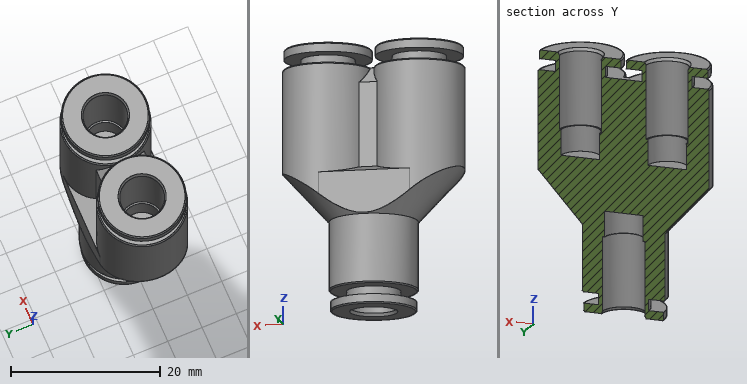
import cadquery as cq

total_height = 36.0
barrel_spacing = 12.53
barrel_diameter = 12.25
barrel_top = 33.23
body_base = 12.25
barrel_radius = barrel_diameter / 2
body_half_width = barrel_spacing / 2 + barrel_radius

shoulder_top = 19.2
shoulder_edge = 18.18

web_half_thickness = 3.5
web_top_half_thickness = 0.97
web_bevel_start = 30.78

stem_diameter = 12.0
stem_bottom = 2.77
body_edge_chamfer = 0.18

neck_diameter = 7.3
top_collar_diameter = 11.85
top_collar_thickness = 1.3
bottom_collar_diameter = 11.6
bottom_collar_thickness = 1.25
collar_chamfer = 0.18
neck_embed = 0.35

bore_diameter = 5.5
mouth_diameter = 6.0
mouth_edge_diameter = 6.45
mouth_edge_depth = 0.45
mouth_depth = 10.8
bore_depth = 14.4

barrel_centers = [(-barrel_spacing / 2, 0), (barrel_spacing / 2, 0)]


def cylinder(diameter, bottom, top):
    return cq.Workplane("XY").workplane(offset=bottom).circle(diameter / 2).extrude(top - bottom)


def make_barrel(center):
    barrel = cylinder(barrel_diameter, body_base, barrel_top)
    return barrel.faces(">Z").edges().chamfer(body_edge_chamfer).translate((*center, 0))


def make_web():
    """Bridge between the barrels: bevelled at the top, widening below at the shoulders."""
    half_profile = [
        (barrel_radius, body_base),
        (barrel_radius, shoulder_edge),
        (web_half_thickness, shoulder_top),
        (web_half_thickness, web_bevel_start),
        (web_top_half_thickness, barrel_top),
    ]
    mirrored = [(-y, z) for y, z in reversed(half_profile)]
    profile = cq.Workplane("YZ").polyline(half_profile + mirrored).close()
    return profile.extrude(barrel_spacing / 2, both=True)


def make_taper_envelope():
    """Cone about the stem axis that trims the lower body, continued as a cylinder above."""
    return (
        cq.Workplane("XZ")
        .moveTo(0, body_base)
        .lineTo(stem_diameter / 2, body_base)
        .lineTo(body_half_width, shoulder_top)
        .lineTo(body_half_width, barrel_top)
        .lineTo(0, barrel_top)
        .close()
        .revolve(360, (0, 0, 0), (0, 1, 0))
    )


def make_sleeve(collar_diameter, collar_thickness, body_end):
    """Release sleeve with its outer face at the total height and its neck set into the body."""
    collar = cylinder(collar_diameter, total_height - collar_thickness, total_height)
    collar = collar.faces(">Z").edges().chamfer(collar_chamfer)
    return collar.union(cylinder(neck_diameter, body_end - neck_embed, total_height - collar_thickness))


def make_socket():
    """Blind stepped bore with a bevelled mouth, opening at the total height."""
    return (
        cq.Workplane("XZ")
        .moveTo(0, total_height)
        .lineTo(mouth_edge_diameter / 2, total_height)
        .lineTo(mouth_diameter / 2, total_height - mouth_edge_depth)
        .lineTo(mouth_diameter / 2, total_height - mouth_depth)
        .lineTo(bore_diameter / 2, total_height - mouth_depth)
        .lineTo(bore_diameter / 2, total_height - bore_depth)
        .lineTo(0, total_height - bore_depth)
        .close()
        .revolve(360, (0, 0, 0), (0, 1, 0))
    )


def turn_to_bottom(shape):
    """Turn a feature from the top end of the part to the bottom end."""
    middle = total_height / 2
    return shape.rotate((0, 0, middle), (1, 0, middle), 180)


body = make_web()
for center in barrel_centers:
    body = body.union(make_barrel(center))
body = body.intersect(make_taper_envelope())

stem = cylinder(stem_diameter, stem_bottom, body_base)
body = body.union(stem.faces("<Z").edges().chamfer(body_edge_chamfer))

top_sleeve = make_sleeve(top_collar_diameter, top_collar_thickness, barrel_top)
bottom_sleeve = make_sleeve(bottom_collar_diameter, bottom_collar_thickness, total_height - stem_bottom)
body = body.union(turn_to_bottom(bottom_sleeve))
for center in barrel_centers:
    body = body.union(top_sleeve.translate((*center, 0)))
for center in barrel_centers:
    body = body.cut(make_socket().translate((*center, 0)))

result = body.cut(turn_to_bottom(make_socket()))